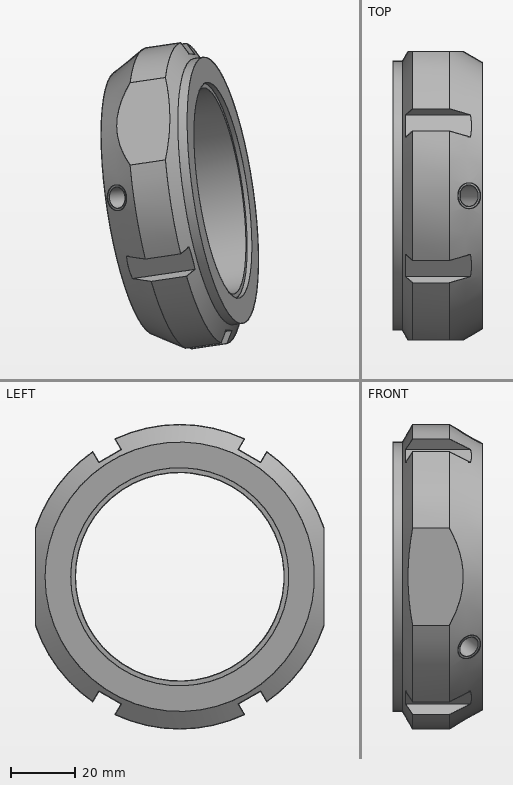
import cadquery as cq
import math

width = 28.0
outer_radius = 95.0 / 2
bore_radius = 65.0 / 2
recess_radius = 68.0 / 2
recess_depth = 1.5
collar_radius = 84.0 / 2
collar_width = 3.0
front_cone_angle = math.radians(60.0)
back_cone_angle = math.radians(30.0)
back_face_radius = 41.5

across_flats = 90.0

slot_width = 8.0
slot_depth = 4.0
slot_angles = (30.0, 150.0, 210.0, 330.0)

screw_count = 3
screw_diameter = 6.65
spot_face_diameter = 8.1
spot_face_depth = 0.25
screw_x = 23.87

origin = (0, 0, 0)
x_axis = (1, 0, 0)


def turned_ring():
    front_cone_length = (outer_radius - collar_radius) / math.tan(front_cone_angle)
    back_cone_length = (outer_radius - back_face_radius) / math.tan(back_cone_angle)
    profile = [
        (0, recess_radius),
        (0, collar_radius),
        (collar_width, collar_radius),
        (collar_width + front_cone_length, outer_radius),
        (width - back_cone_length, outer_radius),
        (width, back_face_radius),
        (width, bore_radius),
        (recess_depth, bore_radius),
        (recess_depth, recess_radius),
    ]
    return cq.Workplane("XY").polyline(profile).close().revolve(360, origin, x_axis)


def flats_envelope():
    """Block whose Y faces trim the ring to the two wrench flats."""
    return cq.Workplane("XY").box(width, across_flats, 2 * outer_radius, centered=(False, True, True))


def spanner_slot(angle):
    """Flat-floored cutter along X, reaching past the rim."""
    slot_floor = outer_radius - slot_depth
    slot = cq.Workplane("XY").box(width, slot_width, 2 * slot_depth, centered=(False, True, False))
    return slot.translate((0, 0, slot_floor)).rotate(origin, x_axis, angle)


def screw_hole(angle):
    """Hole from the back cone into the bore, turned about X from +Z."""
    mouth_radius = back_face_radius + (width - screw_x) * math.tan(back_cone_angle)
    mouth = cq.Vector(screw_x, 0, mouth_radius)
    outward = cq.Vector(math.sin(back_cone_angle), 0, math.cos(back_cone_angle))
    inward = outward * -1

    hole_length = (mouth_radius - bore_radius) / math.cos(back_cone_angle) + screw_diameter
    hole = cq.Solid.makeCylinder(screw_diameter / 2, hole_length, mouth, inward)

    spot_floor = mouth + inward * spot_face_depth
    spot_face = cq.Solid.makeCylinder(spot_face_diameter / 2, spot_face_diameter, spot_floor, outward)
    return cq.Workplane(hole.fuse(spot_face)).rotate(origin, x_axis, angle)


result = turned_ring().intersect(flats_envelope())
for slot_angle in slot_angles:
    result = result.cut(spanner_slot(slot_angle))
for index in range(screw_count):
    result = result.cut(screw_hole(index * 360.0 / screw_count))